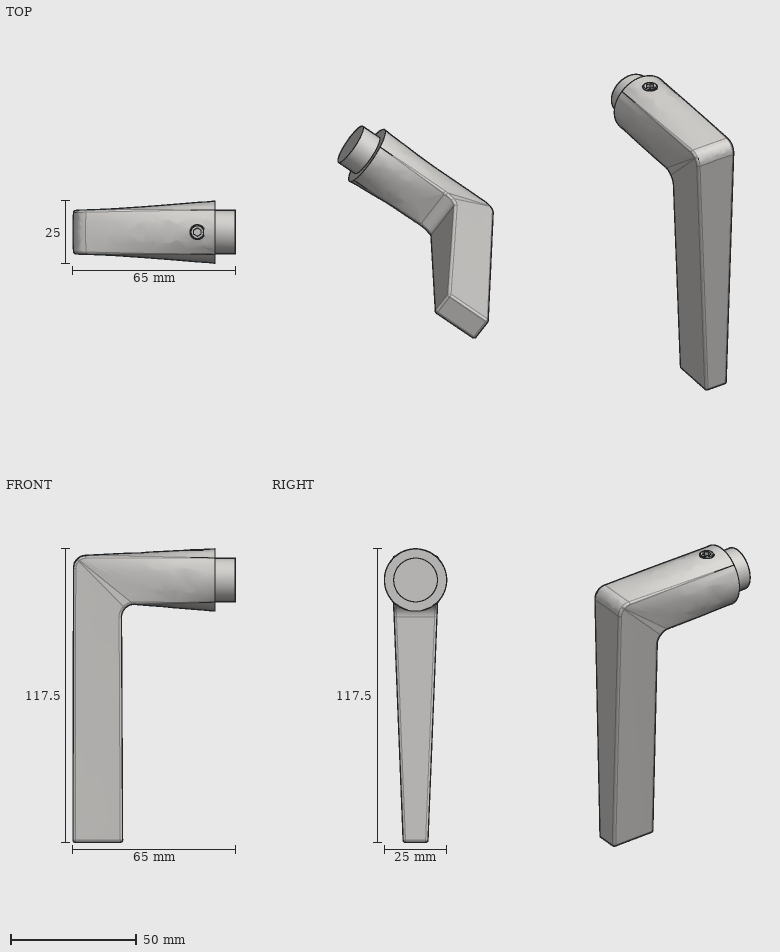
import cadquery as cq
import math


TOTAL_LENGTH = 65.0
TOTAL_HEIGHT = 117.5
MOUTH_DIAMETER = 25.0
BOSS_DIAMETER = 17.5
BOSS_LENGTH = 8.1
MOUTH_RADIUS = MOUTH_DIAMETER / 2
MOUTH_X = TOTAL_LENGTH - BOSS_LENGTH
AXIS_Z = TOTAL_HEIGHT - MOUTH_RADIUS

MOUTH_CORNER = MOUTH_RADIUS * math.sin(math.radians(45))
ELBOW_WIDTH = 2 * MOUTH_CORNER

TIP_DEPTH = 20
TIP_WIDTH = 10.0

TIP_BACK = cq.Vector(0, 0, 0)
TIP_FRONT = cq.Vector(TIP_DEPTH, 0, 0)
ELBOW_BACK = cq.Vector(0.2, 0, 114.7)
ELBOW_FRONT = cq.Vector(19.5, 0, 95.0)
MOUTH_BOTTOM = cq.Vector(MOUTH_X, 0, AXIS_Z - MOUTH_CORNER)
MOUTH_TOP = cq.Vector(MOUTH_X, 0, AXIS_Z + MOUTH_CORNER)

ELBOW_BACK_RADIUS = 5.0
ELBOW_FRONT_RADIUS = 5.0
EDGE_RADIUS = 1.0

SCREW_X = 49.8
SCREW_DIAMETER = 6.0
SCREW_CHAMFER = 0.5
SCREW_LENGTH = 7
SCREW_TOP_Z = 117.2
SOCKET_ACROSS_FLATS = 2.9
SOCKET_DEPTH = 2.3

to_tip = (TIP_FRONT - ELBOW_FRONT).normalized()
to_mouth = (MOUTH_BOTTOM - ELBOW_FRONT).normalized()
half_angle = to_tip.getAngle(to_mouth) / 2
tangent_length = ELBOW_FRONT_RADIUS / math.tan(half_angle)
arc_center = ELBOW_FRONT + (to_tip + to_mouth).normalized() * (ELBOW_FRONT_RADIUS / math.sin(half_angle))
arc_grip_end = ELBOW_FRONT + to_tip * tangent_length
arc_neck_end = ELBOW_FRONT + to_mouth * tangent_length


def arc_point(start, end):
    """Point of the inside arc halfway between two of its points."""
    direction = (start - arc_center) + (end - arc_center)
    return arc_center + direction.normalized() * ELBOW_FRONT_RADIUS


arc_middle = arc_point(arc_grip_end, arc_neck_end)


def xz(point):
    return (point.x, point.z)


def outline_from(point):
    return cq.Workplane("XZ").moveTo(*xz(point))


def rectangle(back, front, width):
    """Rectangle of the given Y width, spanning two points of the symmetry plane."""
    across = cq.Vector(0, width / 2, 0)
    corners = [back - across, back + across, front + across, front - across]
    return cq.Wire.makePolygon(corners, close=True)


def mouth_circle():
    """Circle of four quarter arcs, so that each meets one side of a rectangle in a loft."""
    def on_circle(degrees):
        angle = math.radians(degrees)
        return cq.Vector(MOUTH_X, MOUTH_RADIUS * math.cos(angle), AXIS_Z + MOUTH_RADIUS * math.sin(angle))

    arcs = [
        cq.Edge.makeThreePointArc(on_circle(start), on_circle(start - 45), on_circle(start - 90))
        for start in (135, 45, -45, -135)
    ]
    return cq.Wire.assembleEdges(arcs)


def ruled_loft(first, second):
    return cq.Workplane(cq.Solid.makeLoft([first, second], True))


def make_grip():
    """Tapered bar up to the mitre of the elbow, its front trimmed to the inside arc."""
    trim_allowance = 1.5
    bar = ruled_loft(
        rectangle(TIP_BACK, TIP_BACK + (TIP_FRONT - TIP_BACK) * trim_allowance, TIP_WIDTH),
        rectangle(ELBOW_BACK, ELBOW_BACK + (arc_middle - ELBOW_BACK) * trim_allowance, ELBOW_WIDTH),
    )
    side_outline = (
        outline_from(TIP_BACK)
        .lineTo(*xz(TIP_FRONT))
        .lineTo(*xz(arc_grip_end))
        .threePointArc(xz(arc_point(arc_grip_end, arc_middle)), xz(arc_middle))
        .lineTo(*xz(ELBOW_BACK))
        .close()
    )
    return bar.intersect(side_outline.extrude(ELBOW_WIDTH / 2, both=True))


def make_elbow_wedge():
    """Part of the elbow between the mitre and the neck, of constant width."""
    side_outline = (
        outline_from(ELBOW_BACK)
        .lineTo(*xz(arc_middle))
        .threePointArc(xz(arc_point(arc_middle, arc_neck_end)), xz(arc_neck_end))
        .close()
    )
    return side_outline.extrude(ELBOW_WIDTH / 2, both=True)


def make_neck():
    """Transition from the flat-sided elbow to the round mouth."""
    return ruled_loft(rectangle(ELBOW_BACK, arc_neck_end, ELBOW_WIDTH), mouth_circle())


def round_lever(lever):
    """Round the back of the elbow, then the long edges on both sides and the tip."""
    nearest = cq.selectors.NearestToPointSelector
    rounded = lever.edges(nearest(ELBOW_BACK.toTuple())).fillet(ELBOW_BACK_RADIUS)

    edges = rounded.edges("<Z").vals()
    grip_half_width = (TIP_WIDTH + ELBOW_WIDTH) / 4
    long_edges = [
        (TIP_BACK, ELBOW_BACK, grip_half_width),
        (TIP_FRONT, ELBOW_FRONT, grip_half_width),
        (ELBOW_BACK, MOUTH_TOP, MOUTH_CORNER),
        (ELBOW_FRONT, MOUTH_BOTTOM, MOUTH_CORNER),
    ]
    for start, end, half_width in long_edges:
        middle = (start + end) * 0.5
        for side in (1, -1):
            edges += rounded.edges(nearest((middle.x, side * half_width, middle.z))).vals()
    return rounded.newObject(edges).fillet(EDGE_RADIUS)


def make_boss():
    return cq.Workplane("YZ", origin=(MOUTH_X, 0, AXIS_Z)).circle(BOSS_DIAMETER / 2).extrude(BOSS_LENGTH)


def make_screw_blank():
    """Headless screw, chamfered at the top, without its socket."""
    return (
        cq.Workplane("XY", origin=(SCREW_X, 0, SCREW_TOP_Z - SCREW_LENGTH))
        .circle(SCREW_DIAMETER / 2)
        .extrude(SCREW_LENGTH)
        .edges(">Z")
        .chamfer(SCREW_CHAMFER)
    )


def make_handle():
    """Lever and boss in one piece, with a blind hole that fits the set screw."""
    lever = make_grip().union(make_elbow_wedge()).union(make_neck())
    return round_lever(lever).union(make_boss()).cut(make_screw_blank())


def make_set_screw():
    """Set screw with a hexagon socket, two socket corners lying along Y."""
    socket = (
        cq.Workplane("XY", origin=(SCREW_X, 0, SCREW_TOP_Z - SOCKET_DEPTH))
        .polygon(6, SOCKET_ACROSS_FLATS, circumscribed=True)
        .extrude(SOCKET_DEPTH)
    )
    return make_screw_blank().cut(socket)


handle = make_handle()
set_screw = make_set_screw()
result = cq.Compound.makeCompound([handle.val(), set_screw.val()])